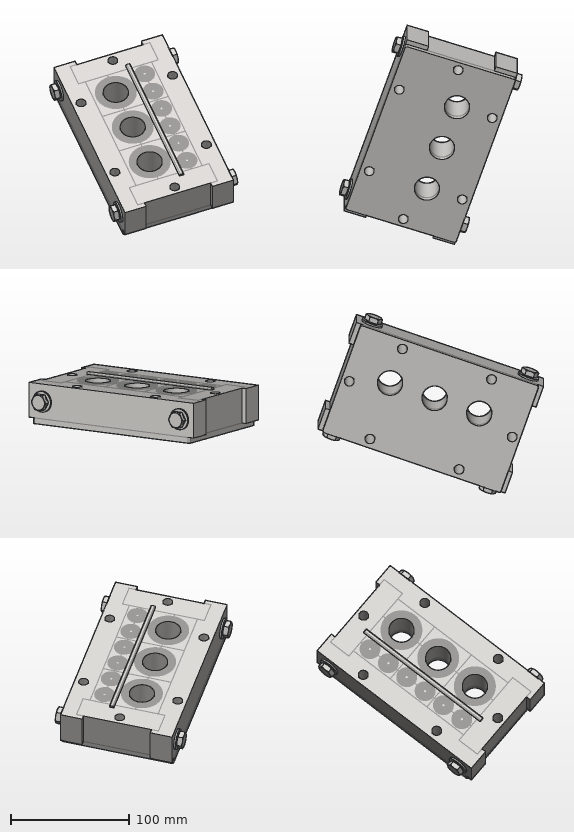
import cadquery as cq
import math

frame_length = 168.0
frame_width = 98.5
frame_height = 30.0
base_height = 5.0
base_corner_radius = 1.7
end_inset = 4.0
end_block_width = 20.0
end_block_length = 72.2
opening_width = 60.0
base_length = frame_length - 2 * end_inset
opening_length = base_length - 2 * end_block_width
bar_width = (frame_width - opening_width) / 2
frame_top = base_height + frame_height

mount_diameter = 8.2
bar_hole_x = 40.0
bar_hole_y = 41.5
end_hole_x = 73.0

module_columns = 3
large_size = opening_length / module_columns
small_size = opening_width - large_size
column_places = [(column - (module_columns - 1) / 2) * large_size for column in range(module_columns)]
large_center_y = -small_size / 2
small_center_y = large_size / 2
large_outer_diameter = 34.6
large_bore_diameter = 21.3
small_outer_diameter = 16.8
small_core_diameter = 3.0
layer_thickness = 0.7

strip_length = 127.0
strip_width = 4.0
strip_height = 1.8
strip_edge_radius = 1.0
strip_y = opening_width / 2 - small_size

bolt_x = 70.0
bolt_z = base_height + frame_height / 2
washer_diameter = 18.0
washer_thickness = 1.5
collar_diameter = 11.5
collar_thickness = 0.5
hex_across_flats = 13.0
hex_height = 4.7
hex_face_diameter = 12.8
hex_chamfer_angle = 30.0


def box(length, width, height, x, y, z):
    """Box centred on x, y with its underside at z."""
    block = cq.Workplane("XY").box(length, width, height, centered=(True, True, False))
    return block.translate((x, y, z))


def upright_cylinder(diameter, height, x, y, z):
    """Vertical cylinder centred on x, y with its underside at z."""
    return cq.Workplane("XY", origin=(x, y, z)).circle(diameter / 2).extrude(height)


def make_base():
    """Plate with rounded upright corners."""
    plate = box(base_length, frame_width, base_height, 0, 0, 0)
    return plate.edges("|Z").fillet(base_corner_radius)


def make_frame():
    """Bars and end blocks as separate bodies, the blocks let into the bars."""
    blocks = []
    for side in (-1, 1):
        block_x = side * (base_length - end_block_width) / 2
        blocks.append(box(end_block_width, end_block_length, frame_height, block_x, 0, base_height))
    bars = []
    for side in (-1, 1):
        bar_y = side * (frame_width - bar_width) / 2
        bar = box(frame_length, bar_width, frame_height, 0, bar_y, base_height)
        for block in blocks:
            bar = bar.cut(block)
        bars.append(bar)
    return bars + blocks


def make_layers(outer_diameter, inner_diameter, x, y):
    """Concentric peel-off layers between two diameters."""
    count = round((outer_diameter - inner_diameter) / (2 * layer_thickness))
    step = (outer_diameter - inner_diameter) / count
    layers = []
    for index in range(count):
        inner = inner_diameter + index * step
        layer = upright_cylinder(inner + step, frame_height, x, y, base_height)
        layers.append(layer.cut(upright_cylinder(inner, frame_height, x, y, base_height)))
    return layers


def make_block_halves(width, x, y, bore_diameter, bore_places):
    """Module block split along its bore centres into two halves, with bores for the layers."""
    halves = []
    for side in (-1, 1):
        half = box(large_size, width / 2, frame_height, x, y + side * width / 4, base_height)
        for bore_x in bore_places:
            half = half.cut(upright_cylinder(bore_diameter, frame_height, bore_x, y, base_height))
        halves.append(half)
    return halves


def make_modules():
    """Each column holds one large module and one small block with two bores."""
    bodies = []
    for x in column_places:
        bodies += make_block_halves(large_size, x, large_center_y, large_outer_diameter, [x])
        bodies += make_layers(large_outer_diameter, large_bore_diameter, x, large_center_y)

        small_places = [x - small_size / 2, x + small_size / 2]
        bodies += make_block_halves(small_size, x, small_center_y, small_outer_diameter, small_places)
        for small_x in small_places:
            bodies += make_layers(small_outer_diameter, small_core_diameter, small_x, small_center_y)
            core = upright_cylinder(small_core_diameter, frame_height, small_x, small_center_y, base_height)
            bodies.append(core)
    return bodies


def make_strip():
    """Bar on the top face with both long upper edges rounded."""
    strip = box(strip_length, strip_width, strip_height, 0, strip_y, frame_top)
    return strip.edges("|X and >Z").fillet(strip_edge_radius)


def make_bolt():
    """Washer, collar and chamfered hexagon head stacked upward from z = 0."""
    corner_diameter = hex_across_flats / math.cos(math.radians(30))
    head_bottom = washer_thickness + collar_thickness
    washer = cq.Workplane("XY").circle(washer_diameter / 2).extrude(washer_thickness)
    collar = cq.Workplane("XY").circle(collar_diameter / 2).extrude(head_bottom)
    hexagon = cq.Workplane("XY", origin=(0, 0, head_bottom)).polygon(6, corner_diameter)
    head = hexagon.extrude(hex_height)

    head_top = head_bottom + hex_height
    corner_radius = corner_diameter / 2
    face_radius = hex_face_diameter / 2
    chamfer_drop = (corner_radius - face_radius) * math.tan(math.radians(hex_chamfer_angle))
    blank = (
        cq.Workplane("XZ")
        .moveTo(0, head_bottom)
        .lineTo(corner_radius, head_bottom)
        .lineTo(corner_radius, head_top - chamfer_drop)
        .lineTo(face_radius, head_top)
        .lineTo(0, head_top)
        .close()
        .revolve(360, (0, 0), (0, 1))
    )
    return washer.union(collar).union(head.intersect(blank))


def make_bolts():
    """Two bolts on each long side, heads pointing outward."""
    bolt = make_bolt()
    bolts = []
    for side in (-1, 1):
        turned = bolt.rotate((0, 0, 0), (1, 0, 0), -90 * side)
        for x in (-bolt_x, bolt_x):
            bolts.append(turned.translate((x, side * frame_width / 2, bolt_z)))
    return bolts


bodies = make_frame() + make_modules() + [make_strip()] + make_bolts()
fused = make_base().val().fuse(*[body.val() for body in bodies])

hole_places = [(sx * bar_hole_x, sy * bar_hole_y) for sx in (-1, 1) for sy in (-1, 1)]
hole_places += [(-end_hole_x, 0), (end_hole_x, 0)]
cutters = [upright_cylinder(mount_diameter, frame_top, x, y, 0) for x, y in hole_places]
for x in column_places:
    cutters.append(upright_cylinder(large_bore_diameter, frame_top, x, large_center_y, 0))

drilled = fused.cut(*[cutter.val() for cutter in cutters])
result = cq.Workplane("XY").newObject(drilled.Solids())